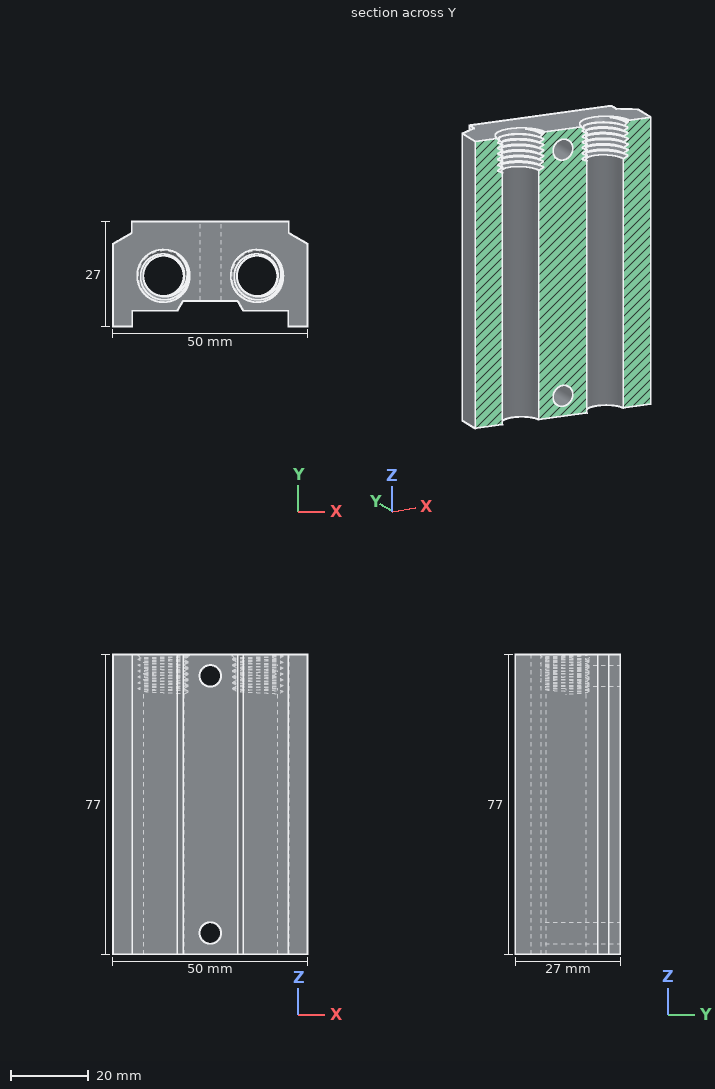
import cadquery as cq
import math

length = 77.0
width = 50.0
depth = 27.0
half_width = width / 2
front = -depth / 2
back = depth / 2

shoulder_angle = math.radians(30)
back_half_width = 20.2
shoulder_step = 3.0
shoulder_run = half_width - back_half_width
shoulder_drop = shoulder_run * math.tan(shoulder_angle)

relief_angle = math.radians(60)
leg_width = 5.0
channel_depth = 4.0
relief_depth = 6.55
relief_half_mouth = 8.5
relief_half_floor = relief_half_mouth - (relief_depth - channel_depth) / math.tan(relief_angle)

port_spacing = 24.0
port_y = front + 13.0
bore_radius = 5.15
root_radius = 6.55
mouth_radius = 6.8
mouth_depth = 1.6
thread_length = 9.0
thread_turns = 6
pitch = thread_length / thread_turns
last_groove_depth = 0.5
crest_gap = 0.04
groove_overlap = 0.1

mount_diameter = 5.5
mount_spacing = 66.0


def make_block():
    right_side = [
        (relief_half_floor, front + relief_depth),
        (relief_half_mouth, front + channel_depth),
        (half_width - leg_width, front + channel_depth),
        (half_width - leg_width, front),
        (half_width, front),
        (half_width, back - shoulder_step - shoulder_drop),
        (back_half_width, back - shoulder_step),
        (back_half_width, back),
    ]
    left_side = [(-x, y) for x, y in reversed(right_side)]
    outline = cq.Workplane("XY").workplane(offset=-length / 2)
    return outline.polyline(right_side + left_side).close().extrude(length)


def make_thread_cutter():
    """Right-handed V ridge that runs one turn out of the top face."""
    start = length / 2 - last_groove_depth - thread_length
    base_radius = bore_radius - groove_overlap
    half_base = (pitch - crest_gap) / 2
    height = thread_length + pitch
    path = cq.Wire.makeHelix(pitch, height, base_radius, cq.Vector(0, 0, start))
    profile = [
        (base_radius, start - half_base),
        (root_radius, start),
        (base_radius, start + half_base),
    ]
    return cq.Workplane("XZ").polyline(profile).close().sweep(cq.Workplane(path), isFrenet=True)


def cut_ports(body):
    top = length / 2
    bore = cq.Workplane("XY").workplane(offset=-top).circle(bore_radius).extrude(length)
    mouth = cq.Workplane(
        cq.Solid.makeCone(bore_radius, mouth_radius, mouth_depth, cq.Vector(0, 0, top - mouth_depth))
    )
    thread = make_thread_cutter()
    for x in (-port_spacing / 2, port_spacing / 2):
        for cutter in (thread, mouth, bore):
            body = body.cut(cutter.translate((x, port_y, 0)))
    return body


def cut_mounting_holes(body):
    holes = (
        cq.Workplane("XZ", origin=(0, back, 0))
        .rarray(0.8, mount_spacing, 1, 2)
        .circle(mount_diameter / 2)
        .extrude(depth)
    )
    return body.cut(holes)


result = cut_mounting_holes(cut_ports(make_block()))